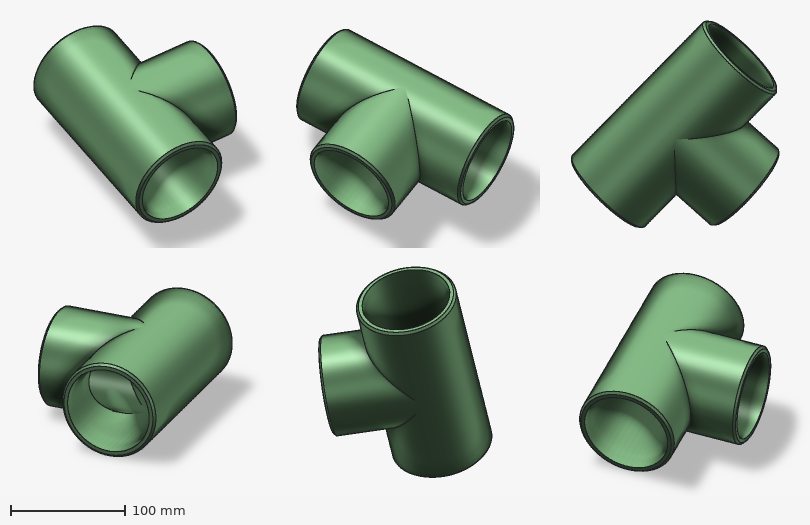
import cadquery as cq

run_length = 171.7
branch_reach = run_length / 2
outer_diameter = 89.0
bore_diameter = 78.0
chamfer_size = 2.0


def chamfered_run():
    """Solid cylinder along X, centred on the origin, with both rims chamfered."""
    cylinder = cq.Workplane("YZ").circle(outer_diameter / 2).extrude(run_length / 2, both=True)
    return cylinder.faces("<X or >X").chamfer(chamfer_size)


def chamfered_branch():
    """Solid cylinder from the run axis toward +Y, with its free rim chamfered."""
    cylinder = cq.Workplane("XZ").circle(outer_diameter / 2).extrude(-branch_reach)
    return cylinder.faces(">Y").chamfer(chamfer_size)


run_bore = cq.Workplane("YZ").circle(bore_diameter / 2).extrude(run_length / 2, both=True)
branch_bore = cq.Workplane("XZ").circle(bore_diameter / 2).extrude(-branch_reach)

result = chamfered_run().union(chamfered_branch()).cut(run_bore).cut(branch_bore)